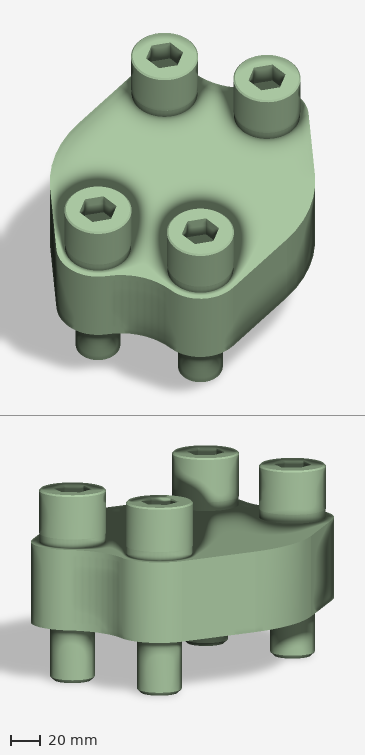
import cadquery as cq
import math

plate_width = 177.5
plate_length = 208.0
plate_height = 55.0
bolt_x = 35.8
bolt_y = 76.1
corner_radius = plate_length / 2 - bolt_y
side_radius = plate_width / 2
waist_radius = 46.2

shank_diameter = 30.0
shank_projection = 39.0
tip_chamfer = 2.5
washer_diameter = 44.0
washer_height = 6.0
head_diameter = 45.0
head_height = 30.0
head_chamfer = 1.0
socket_flats = 22.0
socket_depth = 15.0


def plate_quadrant_points():
    """Points of the +X, +Y quarter outline, from the X axis to the Y axis."""
    bolt_distance = math.hypot(bolt_x, bolt_y)
    flank_angle = math.atan2(bolt_y, bolt_x) - math.acos((side_radius - corner_radius) / bolt_distance)
    normal_x = math.cos(flank_angle)
    normal_y = math.sin(flank_angle)
    flank_start = (side_radius * normal_x, side_radius * normal_y)
    flank_end = (bolt_x + corner_radius * normal_x, bolt_y + corner_radius * normal_y)
    center_gap = waist_radius + corner_radius
    waist_center_y = bolt_y + math.sqrt(center_gap**2 - bolt_x**2)
    blend = corner_radius / center_gap
    waist_start = (bolt_x * (1 - blend), bolt_y + (waist_center_y - bolt_y) * blend)
    corner_top = (bolt_x, plate_length / 2)
    waist_middle = (0, waist_center_y - waist_radius)
    return flank_start, flank_end, corner_top, waist_start, waist_middle


def make_plate():
    flank_start, flank_end, corner_top, waist_start, waist_middle = plate_quadrant_points()

    def flip_x(point):
        return (-point[0], point[1])

    def flip_y(point):
        return (point[0], -point[1])

    def flip_both(point):
        return (-point[0], -point[1])

    outline = (
        cq.Workplane("XY")
        .moveTo(*flip_y(flank_start))
        .threePointArc((side_radius, 0), flank_start)
        .lineTo(*flank_end)
        .threePointArc(corner_top, waist_start)
        .threePointArc(waist_middle, flip_x(waist_start))
        .threePointArc(flip_x(corner_top), flip_x(flank_end))
        .lineTo(*flip_x(flank_start))
        .threePointArc((-side_radius, 0), flip_both(flank_start))
        .lineTo(*flip_both(flank_end))
        .threePointArc(flip_both(corner_top), flip_both(waist_start))
        .threePointArc(flip_y(waist_middle), flip_y(waist_start))
        .threePointArc(flip_y(corner_top), flip_y(flank_end))
        .close()
    )
    return outline.extrude(plate_height)


def make_bolt():
    """Bolt with washer on the Z axis; the plate underside is at Z = 0."""
    head_bottom = plate_height + washer_height
    head_top = head_bottom + head_height
    shank = (
        cq.Workplane("XY", origin=(0, 0, -shank_projection))
        .circle(shank_diameter / 2)
        .extrude(shank_projection + head_bottom)
        .faces("<Z")
        .chamfer(tip_chamfer)
    )
    washer = (
        cq.Workplane("XY", origin=(0, 0, plate_height))
        .circle(washer_diameter / 2)
        .extrude(washer_height)
    )
    head = (
        cq.Workplane("XY", origin=(0, 0, head_bottom))
        .circle(head_diameter / 2)
        .extrude(head_height)
        .faces(">Z")
        .chamfer(head_chamfer)
    )
    socket = (
        cq.Workplane("XY", origin=(0, 0, head_top - socket_depth))
        .polygon(6, socket_flats, circumscribed=True)
        .extrude(socket_depth)
    )
    return shank.union(washer).union(head).cut(socket)


result = make_plate()
bolt = make_bolt()
for x in (-bolt_x, bolt_x):
    for y in (-bolt_y, bolt_y):
        result = result.union(bolt.translate((x, y, 0)))